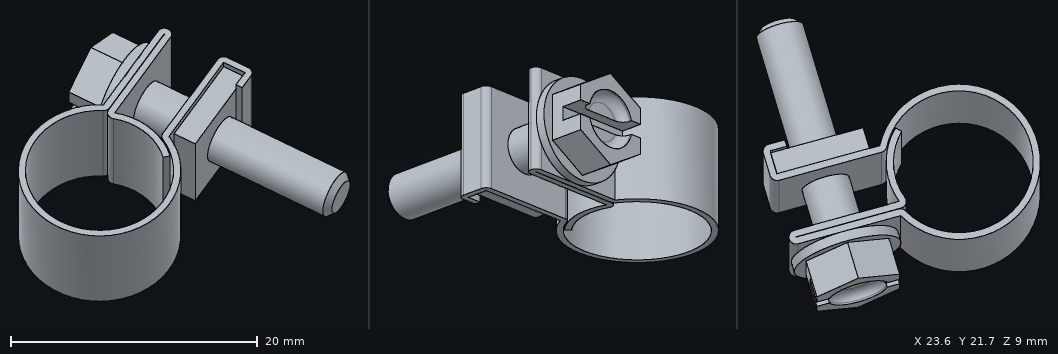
import cadquery as cq
import math


band_width = 9.0
band_thickness = 0.6
ring_outer_radius = 6.6
ring_inner_radius = ring_outer_radius - band_thickness
lug_inner_x = 2.5
lug_outer_x = lug_inner_x + band_thickness
lug_top_y = 15.05
bend_radius = band_thickness
fold_gap = 0.02
hook_length = 2.0

tongue_gap = 0.1
tongue_outer_radius = ring_inner_radius - tongue_gap
tongue_inner_radius = tongue_outer_radius - band_thickness
tongue_end_angle = 45.0
fold_inner_x = -lug_inner_x + fold_gap
fold_outer_x = fold_inner_x + band_thickness

screw_y = 10.53
screw_start_x = -7.1
screw_length = 23.62
shank_diameter = 4.0
tip_chamfer = 0.55
head_across_flats = 7.0
flange_diameter = 9.0
flange_thickness = 0.85
flange_face_x = -lug_outer_x
head_height = flange_face_x - flange_thickness - screw_start_x
slot_width = 1.2
slot_depth = 2.0
recess_diameter = 5.0
recess_depth = 1.0
recess_floor_radius = 0.83

nut_thickness = 2.0
nut_side = 2 * (lug_top_y - band_thickness - screw_y)
nut_start_x = lug_outer_x
hook_inner_x = nut_start_x + nut_thickness
hook_outer_x = hook_inner_x + band_thickness


def band_plate(x_start, x_end, y_start, y_end):
    """Rectangular block over the full band width."""
    return cq.Workplane("XY").box(
        x_end - x_start, y_end - y_start, band_width, centered=(False, False, True)
    ).translate((x_start, y_start, 0))


def band_ring(outer_radius, inner_radius):
    """Full ring of band around the Z axis."""
    return cq.Workplane("XY").circle(outer_radius).circle(inner_radius).extrude(band_width / 2, both=True)


def axial_cylinder(x_start, length, diameter):
    """Cylinder on the screw axis."""
    return cq.Workplane("YZ", origin=(x_start, screw_y, 0)).circle(diameter / 2).extrude(length)


def round_edge(body, x, y, radius):
    """Round the full-width edge of the band that passes through (x, y)."""
    return body.edges(cq.selectors.NearestToPointSelector((x, y, 0))).fillet(radius)


def height_on_circle(radius, x):
    return math.sqrt(radius**2 - x**2)


def make_tongue():
    """Arc from the folded layer to its radial end under the opposite side of the ring."""
    reach = 2 * tongue_outer_radius
    end_x = reach * math.cos(math.radians(tongue_end_angle))
    end_y = reach * math.sin(math.radians(tongue_end_angle))
    sector = (
        cq.Workplane("XY")
        .polyline([(0, 0), (end_x, end_y), (fold_inner_x, end_y), (fold_inner_x, 0)])
        .close()
        .extrude(band_width / 2, both=True)
    )
    return band_ring(tongue_outer_radius, tongue_inner_radius).intersect(sector)


def make_band():
    lug_base_y = height_on_circle(ring_outer_radius, lug_outer_x)
    fold_base_y = height_on_circle(tongue_inner_radius, fold_outer_x)
    cap_y = lug_top_y - band_thickness

    band = band_ring(ring_outer_radius, ring_inner_radius)
    band = band.cut(band_plate(-lug_inner_x, lug_inner_x, 0, lug_top_y))

    band = band.union(band_plate(lug_inner_x, lug_outer_x, lug_base_y, lug_top_y))
    band = band.union(band_plate(lug_inner_x, hook_outer_x, cap_y, lug_top_y))
    band = band.union(band_plate(hook_inner_x, hook_outer_x, lug_top_y - hook_length, lug_top_y))

    band = band.union(band_plate(-lug_outer_x, -lug_inner_x, lug_base_y, lug_top_y))
    band = band.union(band_plate(-lug_outer_x, fold_outer_x, cap_y, lug_top_y))
    band = band.union(band_plate(fold_inner_x, fold_outer_x, fold_base_y, lug_top_y))
    band = band.union(make_tongue())

    for x in (-lug_outer_x, fold_outer_x, lug_inner_x, hook_outer_x):
        band = round_edge(band, x, lug_top_y, bend_radius)

    ring_corner_y = height_on_circle(ring_inner_radius, lug_inner_x)
    for x in (-lug_inner_x, lug_inner_x):
        band = round_edge(band, x, ring_corner_y, bend_radius)
    tongue_corner_y = height_on_circle(tongue_inner_radius, fold_inner_x)
    band = round_edge(band, fold_inner_x, tongue_corner_y, bend_radius)

    return band.cut(axial_cylinder(-lug_outer_x, 2 * lug_outer_x, shank_diameter))


def make_screw():
    head_across_corners = head_across_flats / math.cos(math.pi / 6)
    head = (
        cq.Workplane("YZ", origin=(screw_start_x, screw_y, 0))
        .transformed(rotate=(0, 0, 90))
        .polygon(6, head_across_corners)
        .extrude(head_height)
    )

    recess = axial_cylinder(screw_start_x, recess_depth, recess_diameter)
    recess = recess.faces(">X").edges().fillet(recess_floor_radius)
    slot = cq.Workplane("XY").box(
        slot_depth, head_across_flats, slot_width, centered=(False, True, True)
    ).translate((screw_start_x, screw_y, 0))
    head = head.cut(recess).cut(slot)

    flange = axial_cylinder(screw_start_x + head_height, flange_thickness, flange_diameter)
    shank = axial_cylinder(flange_face_x, screw_start_x + screw_length - flange_face_x, shank_diameter)
    shank = shank.faces(">X").chamfer(tip_chamfer)
    return head.union(flange).union(shank)


def make_nut():
    nut = (
        cq.Workplane("YZ", origin=(nut_start_x, screw_y, 0))
        .rect(nut_side, nut_side)
        .extrude(nut_thickness)
    )
    return nut.cut(axial_cylinder(nut_start_x, nut_thickness, shank_diameter))


band = make_band()
screw = make_screw()
nut = make_nut()
result = cq.Compound.makeCompound([band.val(), screw.val(), nut.val()])